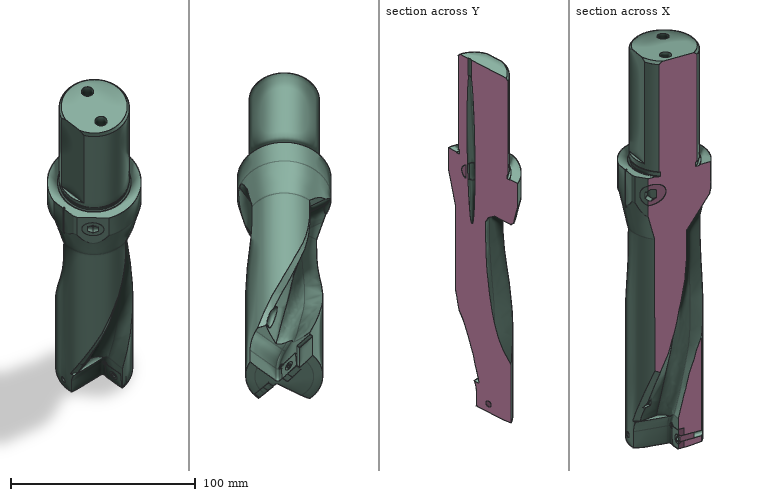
import cadquery as cq
import math


total_length = 241.78
shank_length = 69.85
shank_radius = 19.05
flange_radius = 25.4
drill_radius = 20.9
tip_z = shank_length - total_length

shank_chamfer_width = 1.2
shank_chamfer_height = 1.6
shank_flat_distance = 17.1
shank_flat_start_z = 5.7
undercut_radius = 18.5
undercut_height = 2.0
face_groove_radius = 19.9
face_groove_depth = 0.5

flange_height = 16.2
cone_end_z = -38.4
front_flat_distance = 24.4
mark_width = 0.6
mark_depth = 1.0
mark_end_z = -23.0
plug_flat_distance = 23.87
plug_flat_angle = -48.6

end_lift = 0.3
end_chamfer_height = 0.7
end_chamfer_width = 5.0

plug_radius = 6.0
plug_length = 10.0
plug_z = -10.7
plug_hex_across_flats = 6.0
plug_hex_depth = 4.0

flute_end_z = -154.5
twist_rate = 0.93
twist_start_depth = 48.0
twist_full_depth = 84.0
flute_section_count = 12
flute_reach = 27.0
runout_shift = (-4.5, -17.0)
flute_wall_offset = 1.6
flute_wall_outer_offset = 4.3
flute_corner_width = 4.9
flute_corner_depth = 8.4
flute_corner_middle = (0.9, 3.5)
flute_floor_end_x = -17.9
flute_bevel_rise = 9.0
inner_floor_offset = 2.6
outer_floor_offset = 5.6
deepening_start_z = -110.0
floor_deepening = 3.5

coolant_inlet_point = (-9.4, 4.7)
coolant_inlet_radius = 3.2
coolant_inlet_depth = 12.0
coolant_hole_radius = 2.5
coolant_outlet_point = (-6.3, 15.0)
coolant_outlet_z = -145.0

inner_wall_x = 5.1
outer_wall_x = 6.3
outer_wall_tilt = -10.0
pocket_curve_radius = 14.7
pocket_corner_radius = 1.5
pocket_curve_angle = 50.0
pocket_curve_start_z = -160.9
pocket_reach = 45.0
pocket_margin = 1.0
lower_floor_y = -2.0
lower_floor_x = -10.2

insert_side = 11.7
insert_thickness = 3.6
insert_corner_radius = 0.8
insert_tilt = 5.0
outer_insert_x = 14.2
inner_insert_x = -3.7
screw_head_radius = 2.75
screw_head_height = 2.2
screw_radius = 1.65
screw_length = 10.0
screw_hex_across_flats = 2.6
screw_hex_depth = 1.2
relief_radius = 1.6


def hexagon_diameter(across_flats):
    return across_flats / math.cos(math.pi / 6)


insert_half_extent = (
    (insert_side / 2 - insert_corner_radius)
    * (math.cos(math.radians(insert_tilt)) + math.sin(math.radians(insert_tilt)))
    + insert_corner_radius
)
insert_z = tip_z + insert_half_extent


def make_blank():
    body_end_z = tip_z + end_lift
    return (
        cq.Workplane("XZ")
        .moveTo(0, shank_length)
        .lineTo(shank_radius - shank_chamfer_width, shank_length)
        .lineTo(shank_radius, shank_length - shank_chamfer_height)
        .lineTo(shank_radius, undercut_height)
        .lineTo(undercut_radius, undercut_height)
        .lineTo(undercut_radius, -face_groove_depth)
        .lineTo(face_groove_radius, -face_groove_depth)
        .lineTo(face_groove_radius, 0)
        .lineTo(flange_radius, 0)
        .lineTo(flange_radius, -flange_height)
        .lineTo(drill_radius, cone_end_z)
        .lineTo(drill_radius, body_end_z + end_chamfer_height)
        .lineTo(drill_radius - end_chamfer_width, body_end_z)
        .lineTo(0, body_end_z)
        .close()
        .revolve(360, (0, 0, 0), (0, 1, 0))
    )


def flat_cutter(distance, angle, bottom_z, top_z):
    """Block that leaves a flat at a distance from the axis, its normal at an angle from +X."""
    size = 2 * flange_radius
    return (
        cq.Workplane("XY", origin=(0, 0, bottom_z))
        .center(distance + size / 2, 0)
        .rect(size, size)
        .extrude(top_z - bottom_z)
        .rotate((0, 0, 0), (0, 0, 1), angle)
    )


def marking_groove():
    return (
        cq.Workplane("XY", origin=(0, -front_flat_distance, mark_end_z))
        .rect(mark_width, 2 * mark_depth)
        .extrude(-mark_end_z)
    )


def twist_angle(depth):
    """Turn of the flute below the flange: zero, then a smooth start, then a steady rate."""
    blend = twist_full_depth - twist_start_depth
    run = depth - twist_start_depth
    if run <= 0:
        return 0.0
    if run < blend:
        return twist_rate * run ** 2 / (2 * blend)
    return twist_rate * (run - blend / 2)


def flute_section(floor_offset, z, shift=(0.0, 0.0)):
    """Flute outline: lead wall, round corner, floor and a bevel at the trailing edge."""
    wall_x = -flute_wall_offset
    floor_y = -floor_offset
    wall_outer = (-flute_wall_outer_offset, -flute_reach)
    wall_inner = (wall_x, floor_y - flute_corner_depth)
    corner_middle = (wall_x - flute_corner_middle[0], floor_y - flute_corner_middle[1])
    floor_inner = (wall_x - flute_corner_width, floor_y)
    floor_outer = (flute_floor_end_x, floor_y)
    bevel_outer = (-flute_reach, floor_y + flute_bevel_rise)
    return (
        cq.Workplane("XY")
        .moveTo(*wall_outer)
        .lineTo(*wall_inner)
        .threePointArc(corner_middle, floor_inner)
        .lineTo(*floor_outer)
        .lineTo(*bevel_outer)
        .lineTo(-flute_reach, -flute_reach)
        .close()
        .val()
        .translate(cq.Vector(shift[0], shift[1], z))
        .rotate(cq.Vector(0, 0, 0), cq.Vector(0, 0, 1), -twist_angle(-z))
    )


def floor_offset_at(top_offset, z):
    """Distance of the flute floor from the axis, shrinking towards the lower end."""
    progress = (deepening_start_z - z) / (deepening_start_z - flute_end_z)
    return top_offset - floor_deepening * max(0.0, progress)


def section_heights(start_z, end_z):
    step = (end_z - start_z) / (flute_section_count - 1)
    return [start_z + step * index for index in range(flute_section_count)]


def make_flute(floor_offset):
    top_section = flute_section(floor_offset, cone_end_z)
    runout_section = flute_section(floor_offset, -flange_height, runout_shift)
    runout = cq.Solid.makeLoft([top_section, runout_section], True)
    sections = [
        flute_section(floor_offset_at(floor_offset, z), z)
        for z in section_heights(cone_end_z, flute_end_z)
    ]
    return cq.Workplane(runout).union(cq.Workplane(cq.Solid.makeLoft(sections)))


def make_coolant_hole():
    """Slanted hole from the shank end to the flute floor, with a wider inlet."""
    inlet = cq.Vector(*coolant_inlet_point, shank_length)
    outlet = cq.Vector(*coolant_outlet_point, coolant_outlet_z)
    direction = outlet - inlet
    hole = cq.Solid.makeCylinder(coolant_hole_radius, direction.Length, inlet, direction)
    return (
        cq.Workplane("XY", origin=inlet.toTuple())
        .circle(coolant_inlet_radius)
        .extrude(-coolant_inlet_depth)
        .union(cq.Workplane(hole))
    )


def chip_pocket(wall_x, tilt):
    """Pocket open to -X and +Y: an upright wall that curves outward at its top."""
    sweep = math.radians(pocket_curve_angle)
    center_x = wall_x - pocket_curve_radius
    curve_middle = (
        center_x + pocket_curve_radius * math.cos(sweep / 2),
        pocket_curve_start_z + pocket_curve_radius * math.sin(sweep / 2),
    )
    curve_end = (
        center_x + pocket_curve_radius * math.cos(sweep),
        pocket_curve_start_z + pocket_curve_radius * math.sin(sweep),
    )
    outer_x = wall_x - pocket_reach
    slope_end_x = -drill_radius - pocket_margin
    slope_end_z = curve_end[1] + (curve_end[0] - slope_end_x) / math.tan(sweep)
    bottom_z = tip_z - pocket_margin
    cutter = (
        cq.Workplane("XZ", origin=(0, pocket_reach, 0))
        .moveTo(wall_x, bottom_z)
        .lineTo(wall_x, pocket_curve_start_z)
        .threePointArc(curve_middle, curve_end)
        .lineTo(slope_end_x, slope_end_z)
        .lineTo(outer_x, slope_end_z)
        .lineTo(outer_x, bottom_z)
        .close()
        .extrude(2 * pocket_reach)
        .rotate((wall_x, 0, 0), (wall_x, 0, 1), tilt)
    )
    above_floor = (
        cq.Workplane("XY", origin=(0, pocket_reach, bottom_z))
        .rect(4 * pocket_reach, 2 * pocket_reach)
        .extrude(2 * pocket_reach)
    )
    floor_corner = cq.selectors.BoxSelector(
        (curve_end[0] - pocket_margin, -pocket_margin, bottom_z + pocket_margin),
        (wall_x + pocket_margin, pocket_margin, curve_end[1]),
    )
    return cutter.intersect(above_floor).edges(floor_corner).fillet(pocket_corner_radius)


def half_turn(shape):
    return shape.rotate((0, 0, 0), (0, 0, 1), 180)


def lower_floor():
    """Step below the inner pocket floor, outside the insert."""
    bottom_z = tip_z - pocket_margin
    return (
        cq.Workplane("XY", origin=(lower_floor_x - pocket_reach / 2, lower_floor_y / 2, bottom_z))
        .rect(pocket_reach, -lower_floor_y)
        .extrude(flute_end_z - bottom_z)
    )


def insert_plane():
    return cq.Workplane("XZ")


def insert_blank():
    return (
        insert_plane()
        .rect(insert_side, insert_side)
        .extrude(-insert_thickness)
        .edges("|Y")
        .fillet(insert_corner_radius)
        .rotate((0, 0, 0), (0, 1, 0), -insert_tilt)
    )


def screw_blank():
    return (
        cq.Workplane("XY")
        .moveTo(0, 0)
        .lineTo(screw_head_radius, 0)
        .lineTo(screw_radius, screw_head_height)
        .lineTo(screw_radius, screw_length)
        .lineTo(0, screw_length)
        .close()
        .revolve(360, (0, 0, 0), (0, 1, 0))
    )


def make_insert():
    return insert_blank().cut(screw_blank())


def make_screw():
    socket = (
        insert_plane()
        .polygon(6, hexagon_diameter(screw_hex_across_flats))
        .extrude(-screw_hex_depth)
    )
    return screw_blank().cut(socket)


def seat_cutter():
    """Insert recess with a relief in its upper inner corner and the through screw hole."""
    relief = (
        insert_plane()
        .center(-insert_side / 2, insert_side / 2)
        .circle(relief_radius)
        .extrude(-insert_thickness)
        .rotate((0, 0, 0), (0, 1, 0), -insert_tilt)
    )
    screw_hole = insert_plane().circle(screw_radius).extrude(-flange_radius)
    return insert_blank().union(relief).union(screw_hole)


def at_outer(shape):
    return shape.translate((outer_insert_x, 0, insert_z))


def at_inner(shape):
    return half_turn(shape).translate((inner_insert_x, 0, insert_z))


def plug_plane():
    angle = math.radians(plug_flat_angle)
    normal = (math.cos(angle), math.sin(angle), 0)
    origin = (plug_flat_distance * normal[0], plug_flat_distance * normal[1], plug_z)
    return cq.Workplane(cq.Plane(origin=origin, xDir=(0, 0, 1), normal=normal))


def plug_blank():
    return plug_plane().circle(plug_radius).extrude(-plug_length)


def make_plug():
    socket = plug_plane().polygon(6, hexagon_diameter(plug_hex_across_flats)).extrude(-plug_hex_depth)
    return plug_blank().cut(socket)


def make_body():
    body = make_blank()
    body = body.cut(flat_cutter(shank_flat_distance, -90, shank_flat_start_z, shank_length))
    body = body.cut(flat_cutter(front_flat_distance, -90, cone_end_z, 0))
    body = body.cut(flat_cutter(plug_flat_distance, plug_flat_angle, cone_end_z, 0))
    body = body.cut(marking_groove())
    body = body.cut(make_flute(inner_floor_offset))
    body = body.cut(half_turn(make_flute(outer_floor_offset)))
    coolant_hole = make_coolant_hole()
    body = body.cut(coolant_hole).cut(half_turn(coolant_hole))
    body = body.cut(chip_pocket(inner_wall_x, 0)).cut(lower_floor())
    body = body.cut(half_turn(chip_pocket(-outer_wall_x, outer_wall_tilt)))
    body = body.cut(at_outer(seat_cutter())).cut(at_inner(seat_cutter()))
    return body.cut(plug_blank())


body = make_body()
plug = make_plug()
inserts = []
screws = []
for place in (at_outer, at_inner):
    inserts.append(place(make_insert()))
    screws.append(place(make_screw()))

bodies = [body, plug, *inserts, *screws]
result = cq.Compound.makeCompound([part.solids().val() for part in bodies])